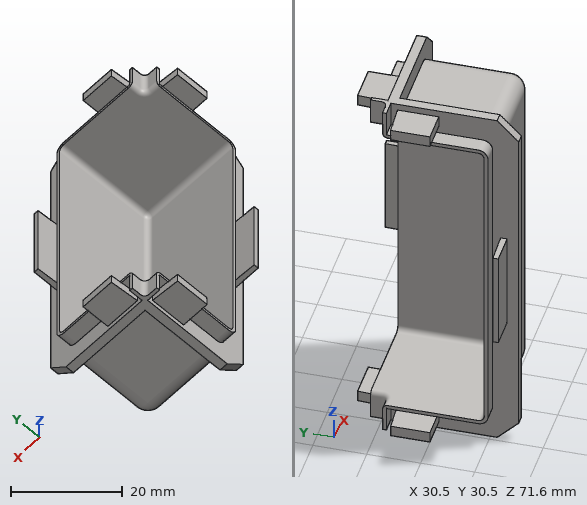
import cadquery as cq


height = 71.6
width = 30.5

flange_front = 6.1
flange_thickness = 1.85
flange_chamfer = 4.0

box_inset = 3.7
box_radius = 3.0
lip_step = 1.15
wall = 1.85
lip_front = 3.0

strip_thickness = 0.7
corner_fillet = 1.1
mouth_fillet = 1.0

end_tab_root = 8.0
end_tab_tip = 8.4
end_tab_far = 15.7
end_tab_inset = 1.3
end_tab_thickness = 2.15
side_tab_root = 27.15
side_tab_tip = 27.35
side_tab_far = 28.35
side_tab_length = 18.9

pick_margin = 0.1

mirror_normal = (1, 1, 0)


def block(x_range, depth_range, z_range):
    """Box between limits, with depth measured from y = 0 toward -Y."""
    return (
        cq.Workplane("XY")
        .box(
            x_range[1] - x_range[0],
            depth_range[1] - depth_range[0],
            z_range[1] - z_range[0],
            centered=False,
        )
        .translate((x_range[0], -depth_range[1], z_range[0]))
    )


def with_mirror(shape):
    """Join a shape to its counterpart on the +Y opening."""
    return shape.union(shape.mirror(mirror_normal))


def rounded_box(start, inset):
    """Nested box from start inward, its edges rounded away from the openings."""
    far = width - box_inset - inset
    end_gap = box_inset + inset
    body = block((start, far), (start, far), (end_gap, height - end_gap))
    closed_edges = "(>X and (>Z or <Z)) or (<Y and (>Z or <Z)) or (>X and <Y)"
    return body.edges(closed_edges).fillet(box_radius - inset)


def flange():
    """Plate around the -X opening, chamfered at its two -Y corners."""
    plate = block(
        (flange_front, flange_front + flange_thickness), (flange_front, width), (0, height)
    )
    return plate.edges("<Y and (<Z or >Z)").chamfer(flange_chamfer)


def corner_strip():
    """Full-height strip standing forward of the flange beside the open corner."""
    return block(
        (lip_front, flange_front + strip_thickness),
        (flange_front, flange_front + strip_thickness),
        (0, height),
    )


def tab(root, tip, far, z_start, z_length):
    """Forward tab with a slight taper on the side nearest the open corner."""
    outline = [(0, -tip), (flange_front, -root), (flange_front, -far), (0, -far)]
    return cq.Workplane("XY").workplane(offset=z_start).polyline(outline).close().extrude(z_length)


def tabs():
    """One tab at each end and a thin one along the far side of the opening."""
    group = tab(
        side_tab_root, side_tab_tip, side_tab_far, (height - side_tab_length) / 2, side_tab_length
    )
    for z_start in (end_tab_inset, height - end_tab_inset - end_tab_thickness):
        group = group.union(tab(end_tab_root, end_tab_tip, end_tab_far, z_start, end_tab_thickness))
    return group


open_corner = block((0, flange_front), (0, flange_front), (0, height))
lip = rounded_box(lip_front, lip_step).cut(open_corner)
housing = rounded_box(flange_front, 0).union(lip)
housing = housing.union(with_mirror(flange())).union(with_mirror(corner_strip()))

inside_corner = cq.selectors.BoxSelector(
    (flange_front - pick_margin, -flange_front - pick_margin, 0),
    (flange_front + pick_margin, -flange_front + pick_margin, height),
)
housing = housing.edges("|Z").edges(inside_corner).fillet(corner_fillet)

housing = housing.cut(rounded_box(0, wall))
cavity_end = box_inset + wall
for z in (cavity_end, height - cavity_end):
    mouth = cq.selectors.BoxSelector(
        (lip_front, -flange_front - pick_margin, z - pick_margin),
        (flange_front + pick_margin, -lip_front, z + pick_margin),
    )
    housing = housing.edges(mouth).edges("not(<X or >Y)").fillet(mouth_fillet)

result = housing.union(with_mirror(tabs()))